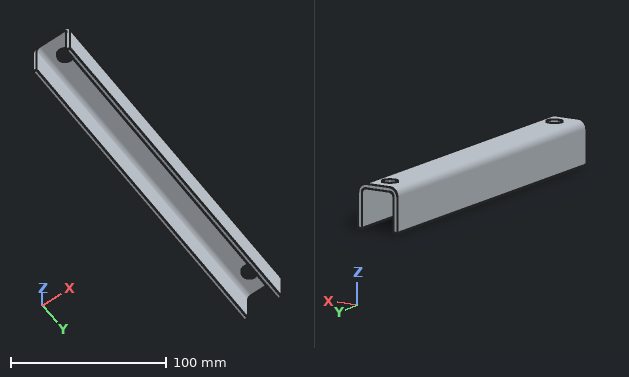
import cadquery as cq

length = 230.0
width = 30.0
height = 30.0
wall = 3.0
outer_bend_radius = 6.0
hole_diameter = 10.1
hole_end_distance = 15.0

inner_bend_radius = outer_bend_radius - wall
hole_spacing = length - 2 * hole_end_distance


def rounded_bar(bar_width, bar_height, bend_radius):
    """Bar along Y, standing on Z = 0, with its two long top edges rounded."""
    bar = cq.Workplane("XY").box(bar_width, length, bar_height, centered=(True, True, False))
    return bar.edges("|Y and >Z").fillet(bend_radius)


outside = rounded_bar(width, height, outer_bend_radius)
inside = rounded_bar(width - 2 * wall, height - wall, inner_bend_radius)
channel = outside.cut(inside)

holes = (
    cq.Workplane("XY")
    .rarray(2.3, hole_spacing, 1, 2)
    .circle(hole_diameter / 2)
    .extrude(height)
)

result = channel.cut(holes)